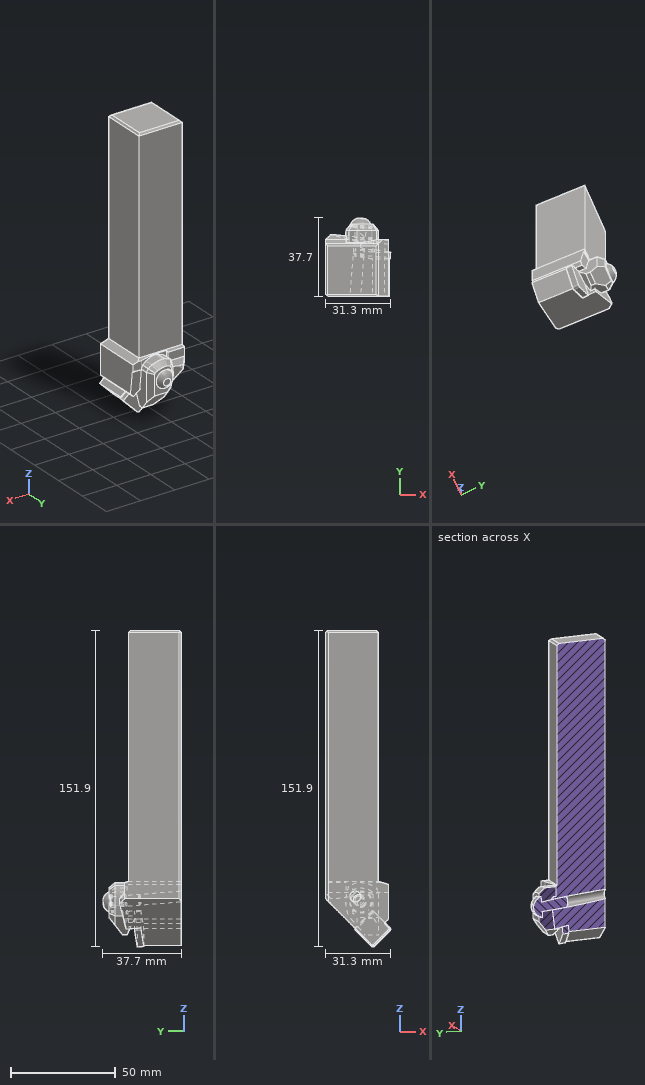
import cadquery as cq
import math

LENGTH = 151.9
SHANK_WIDTH = 25.4
SHANK_DEPTH = 25.4
END_CHAMFER = 1.0
CORNER_CHAMFER_X = 1.4
CORNER_CHAMFER_Y = 1.0

HEAD_WIDTH = 30.2
SHOULDER_Z = 31.6
SHOULDER_SLOPE = 17.0
TIP_X = 22.5
TIP_Z = 0.8
TIP_WIDTH = 11.5
NOTCH_DEPTH = 3.5
PAD_Y = 27.3
RIDGE_Y = 29.6
RIDGE_Z = 23.2
RAMP_Z = 26.1
BACK_EDGE_Y = 27.2
BACK_TILT = 10.0

INSERT_SIDE = 12.6
INSERT_THICKNESS = 3.2
INSERT_CORNER_RADIUS = 0.9
INSERT_X = 22.8
INSERT_Y = 21.9
INSERT_Z = 8.5
INSERT_TILT = 6.5

SCREW_X = 14.3
SCREW_Z = 24.3
SCREW_RADIUS = 2.6
SCREW_END = 19.7
HEAD_SEAT = 33.4
HEAD_RIM = 33.9
HEAD_TOP = 37.7
SCREW_END_CHAMFER = 0.8
HEAD_RADIUS = 5.3
HEAD_TOP_RADIUS = 2.0
DOME_MIDDLE_RADIUS = 4.1
DOME_MIDDLE = 36.2

CLAMP_LEFT = 9.7
CLAMP_RIGHT = 25.4
CLAMP_BASE = 21.3
CLAMP_WALL_TOP = 31.7
CLAMP_TOP = 34.8
CROWN_TAPER = 40.0
HEEL_Z = 31.0
HEEL_LEFT = 15.0
HEEL_SEAT_Y = 26.0
HEEL_SEAT_RIGHT = 18.2
LEFT_FACET_X = 11.2
LEFT_FACET_Z = 29.5
LEFT_BULGE_X = 10.0
LEFT_BULGE_Z = 25.0
LEFT_FLAT_TOP_Z = 20.0
LEFT_FLAT_BOTTOM_Z = 15.0
LEFT_FLAT_BOTTOM_X = 11.0
HEEL_MIDDLE_X = 18.8
HEEL_MIDDLE_Z = 30.7
RIGHT_FACET_X = 22.3
RIGHT_FACET_Z = 29.6
RIGHT_FACET_END_X = 24.5
RIGHT_FACET_END_Z = 28.3
RIGHT_SIDE_Z = 26.5
NOSE_Z = 6.0
NOSE_LEFT = 19.0
NOSE_TOP_Y = 28.3
NOSE_UNDER_Y = 26.0
NOSE_SLOPE = 52.0
LIP_Y = 24.5
LIP_Z = 9.3

CUTTER_WIDTH = 6 * HEAD_WIDTH


def tilted_plane(x, y, z, tilt):
    """Plane facing +Y that leans towards the tip; local x points from the left corner to the tip."""
    lean = math.tan(math.radians(tilt)) / math.sqrt(2)
    return cq.Plane(
        origin=(x, y, z),
        xDir=(1, -2 * lean, -1),
        normal=(lean, 1, -lean),
    )


def extrude_y(points, start, end):
    """Prism along +Y over an outline of (x, z) points."""
    outline = cq.Workplane("XZ").polyline(points).close()
    return outline.extrude(-(end - start)).translate((0, start, 0))


SCREW_PLANE = tilted_plane(SCREW_X, 0, SCREW_Z, INSERT_TILT)
RAKE_PLANE = tilted_plane(INSERT_X, INSERT_Y, INSERT_Z, INSERT_TILT)


def screw_cylinder(start, end, radius):
    return cq.Workplane(SCREW_PLANE).workplane(offset=start).circle(radius).extrude(end - start)


def make_shank():
    shank = (
        cq.Workplane("XY")
        .workplane(offset=SHOULDER_Z)
        .rect(SHANK_WIDTH, SHANK_DEPTH, centered=False)
        .extrude(LENGTH - SHOULDER_Z)
    )
    return shank.faces(">Z").chamfer(END_CHAMFER)


def make_head_outline():
    """Outline of the head as (x, z) points."""
    reach = TIP_WIDTH / math.sqrt(2)
    notch = NOTCH_DEPTH / math.sqrt(2)
    corner_x = TIP_X + reach
    corner_z = TIP_Z + reach
    notch_x = corner_x - notch
    notch_z = corner_z + notch
    shoulder_drop = (HEAD_WIDTH - SHANK_WIDTH) * math.tan(math.radians(SHOULDER_SLOPE))
    return [
        (0, SHOULDER_Z),
        (SHANK_WIDTH, SHOULDER_Z),
        (HEAD_WIDTH, SHOULDER_Z - shoulder_drop),
        (HEAD_WIDTH, notch_z + HEAD_WIDTH - notch_x),
        (notch_x, notch_z),
        (corner_x, corner_z),
        (TIP_X, TIP_Z),
        (0, TIP_Z + TIP_X),
    ]


def make_back_profile():
    """Prism along X, bounded at the back by the shoulder, the heel pad, the ramp and the ridge."""
    pad_drop = (PAD_Y - SHANK_DEPTH) * math.tan(math.radians(SHOULDER_SLOPE))
    profile = [
        (0, 0),
        (0, SHOULDER_Z),
        (SHANK_DEPTH, SHOULDER_Z),
        (PAD_Y, SHOULDER_Z - pad_drop),
        (PAD_Y, RAMP_Z),
        (RIDGE_Y, RIDGE_Z),
        (RIDGE_Y, 0),
    ]
    return cq.Workplane("YZ").polyline(profile).close().extrude(HEAD_WIDTH + TIP_WIDTH)


def make_head():
    head = extrude_y(make_head_outline(), 0, RIDGE_Y).intersect(make_back_profile())

    bevel = RIDGE_Y - BACK_EDGE_Y
    bevel_corner = (
        cq.Workplane("XY")
        .polyline([(0, BACK_EDGE_Y), (bevel, RIDGE_Y), (0, RIDGE_Y)])
        .close()
        .extrude(RAMP_Z)
    )

    back_plane = tilted_plane(bevel, RIDGE_Y, TIP_X + TIP_Z - bevel, BACK_TILT)
    below_ramp = cq.Workplane("XY").rect(CUTTER_WIDTH, CUTTER_WIDTH).extrude(RAMP_Z)
    above_back = cq.Workplane(back_plane).rect(CUTTER_WIDTH, CUTTER_WIDTH).extrude(SHANK_DEPTH)
    return head.cut(bevel_corner).cut(above_back.intersect(below_ramp))


def make_heel_recess():
    """Shallow recess in the pad, its floor climbing to the right."""
    return (
        cq.Workplane("XY")
        .workplane(offset=RAMP_Z)
        .polyline([
            (CLAMP_LEFT, PAD_Y),
            (CLAMP_LEFT, HEEL_SEAT_Y),
            (HEEL_SEAT_RIGHT, HEEL_SEAT_Y),
            (CLAMP_RIGHT, PAD_Y),
        ])
        .close()
        .extrude(SHOULDER_Z - RAMP_Z)
    )


def make_pocket():
    """Space above the insert seat, open towards the tip and the back."""
    return (
        cq.Workplane(RAKE_PLANE)
        .workplane(offset=-INSERT_THICKNESS)
        .center(-INSERT_SIDE / 2, -INSERT_SIDE / 2)
        .rect(2 * INSERT_SIDE, 2 * INSERT_SIDE, centered=False)
        .extrude(SHANK_DEPTH)
    )


def make_holder():
    holder = make_shank().union(make_head())

    corner = (
        cq.Workplane("XY")
        .polyline([(0, 0), (CORNER_CHAMFER_X, 0), (0, CORNER_CHAMFER_Y)])
        .close()
        .extrude(LENGTH)
    )
    screw_hole = screw_cylinder(-SCREW_RADIUS, HEAD_TOP, SCREW_RADIUS)
    return holder.cut(corner).cut(make_heel_recess()).cut(make_pocket()).cut(screw_hole)


def make_insert():
    outline = (
        cq.Sketch()
        .rect(INSERT_SIDE, INSERT_SIDE)
        .vertices()
        .fillet(INSERT_CORNER_RADIUS)
    )
    return cq.Workplane(RAKE_PLANE).placeSketch(outline).extrude(-INSERT_THICKNESS)


def clamp_outline(y):
    """Rounded outline of the clamp on a plane at the given Y, looking along +Y."""
    return (
        cq.Workplane("XZ", origin=(0, y, 0))
        .moveTo(HEEL_LEFT, HEEL_Z)
        .threePointArc((HEEL_MIDDLE_X, HEEL_MIDDLE_Z), (RIGHT_FACET_X, RIGHT_FACET_Z))
        .lineTo(RIGHT_FACET_END_X, RIGHT_FACET_END_Z)
        .lineTo(CLAMP_RIGHT, RIGHT_SIDE_Z)
        .lineTo(CLAMP_RIGHT, NOSE_Z)
        .lineTo(NOSE_LEFT, NOSE_Z)
        .lineTo(LEFT_FLAT_BOTTOM_X, LEFT_FLAT_BOTTOM_Z)
        .lineTo(CLAMP_LEFT, LEFT_FLAT_TOP_Z)
        .threePointArc((LEFT_BULGE_X, LEFT_BULGE_Z), (LEFT_FACET_X, LEFT_FACET_Z))
        .close()
    )


def make_clamp_blank():
    """Clamp before its underside is fitted to the holder, the insert and the screw."""
    wall = clamp_outline(CLAMP_BASE).extrude(CLAMP_BASE - CLAMP_WALL_TOP)
    crown = clamp_outline(CLAMP_WALL_TOP).extrude(CLAMP_WALL_TOP - CLAMP_TOP, taper=CROWN_TAPER)
    slope_height = (CLAMP_TOP - NOSE_TOP_Y) * math.tan(math.radians(NOSE_SLOPE))
    underside_z = LIP_Z + (LIP_Y - CLAMP_BASE) * (LIP_Z - NOSE_Z) / (NOSE_UNDER_Y - LIP_Y)
    side = (
        cq.Workplane("YZ")
        .polyline([
            (CLAMP_BASE, HEEL_Z),
            (CLAMP_TOP, HEEL_Z),
            (CLAMP_TOP, NOSE_Z + slope_height),
            (NOSE_TOP_Y, NOSE_Z),
            (NOSE_UNDER_Y, NOSE_Z),
            (LIP_Y, LIP_Z),
            (CLAMP_BASE, underside_z),
        ])
        .close()
        .extrude(CLAMP_RIGHT)
    )
    return wall.union(crown).intersect(side)


def make_screw():
    axis_plane = cq.Plane(
        origin=SCREW_PLANE.origin, xDir=SCREW_PLANE.xDir, normal=SCREW_PLANE.yDir * -1
    )
    return (
        cq.Workplane(axis_plane)
        .moveTo(0, SCREW_END)
        .lineTo(SCREW_RADIUS - SCREW_END_CHAMFER, SCREW_END)
        .lineTo(SCREW_RADIUS, SCREW_END + SCREW_END_CHAMFER)
        .lineTo(SCREW_RADIUS, HEAD_SEAT)
        .lineTo(HEAD_RADIUS, HEAD_SEAT)
        .lineTo(HEAD_RADIUS, HEAD_RIM)
        .threePointArc((DOME_MIDDLE_RADIUS, DOME_MIDDLE), (HEAD_TOP_RADIUS, HEAD_TOP))
        .lineTo(0, HEAD_TOP)
        .close()
        .revolve(360, (0, 0), (0, 1))
    )


insert = make_insert()
holder = make_holder()
screw = make_screw()
clamp = make_clamp_blank().cut(holder).cut(insert).cut(screw)
result = cq.Compound.makeCompound([
    holder.solids().val(),
    insert.solids().val(),
    clamp.solids().val(),
    screw.solids().val(),
])